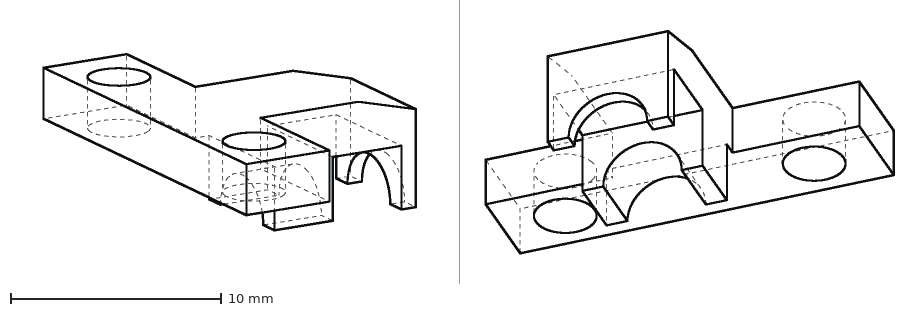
import cadquery as cq

bar_length = 19.05
bar_width = 4.6
plate_thickness = 2.53
hole_diameter = 3.0
hole_spacing = 12.69

total_depth = 13.16
stem_width = 6.13
slope_length = 3.18
slope_drop = 0.84

total_height = 5.7
leg_height = total_height - plate_thickness
end_leg_thickness = 0.8
inner_leg_thickness = 3.22
inner_leg_setback = 4.6
arch_radius = 2.0


def make_bar():
    """Bar with its front face at Y = 0, its underside at Z = 0 and two mounting holes."""
    bar = cq.Workplane("XY").box(bar_length, bar_width, plate_thickness, centered=(True, False, False))
    holes = (
        cq.Workplane("XY")
        .pushPoints([(side * hole_spacing / 2, bar_width / 2) for side in (-1, 1)])
        .circle(hole_diameter / 2)
        .extrude(plate_thickness)
    )
    return bar.cut(holes)


def make_stem():
    """Side profile of the stem, extruded symmetrically across its width."""
    return (
        cq.Workplane("YZ")
        .moveTo(bar_width, 0)
        .lineTo(total_depth, 0)
        .lineTo(total_depth, plate_thickness - slope_drop)
        .lineTo(total_depth - slope_length, plate_thickness)
        .lineTo(bar_width, plate_thickness)
        .close()
        .extrude(stem_width / 2, both=True)
    )


def make_leg(back_y, thickness):
    """Leg with a half-round arch in its lower edge; back_y is its face towards +Y."""
    return (
        cq.Workplane("XZ", origin=(0, back_y, -leg_height))
        .moveTo(-stem_width / 2, 0)
        .lineTo(-arch_radius, 0)
        .threePointArc((0, arch_radius), (arch_radius, 0))
        .lineTo(stem_width / 2, 0)
        .lineTo(stem_width / 2, leg_height)
        .lineTo(-stem_width / 2, leg_height)
        .close()
        .extrude(thickness)
    )


end_leg = make_leg(total_depth, end_leg_thickness)
inner_leg = make_leg(total_depth - inner_leg_setback, inner_leg_thickness)

result = make_bar().union(make_stem()).union(end_leg).union(inner_leg)